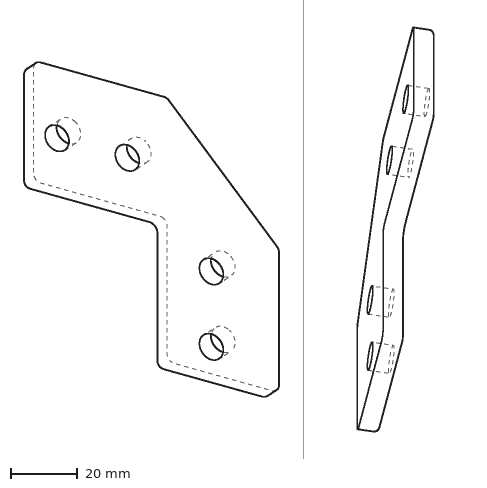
import cadquery as cq

side = 87.5
thickness = 6.4
arm_width = 40.0
corner_radius = 2.5
face_edge_radius = 1.6
hole_diameter = 8.5
hole_spacing = 25.0
hole_end_distance = 12.5
hole_side_distance = 20.0

inner_offset = side - arm_width


def plate():
    """L-shaped plate with its outer corner cut off, front face at Y = 0."""
    outline = [
        (0, side),
        (inner_offset, side),
        (side, inner_offset),
        (side, 0),
        (inner_offset, 0),
        (inner_offset, inner_offset),
        (0, inner_offset),
    ]
    blank = cq.Workplane("XZ").polyline(outline).close().extrude(-thickness)
    rounded = blank.edges("|Y").fillet(corner_radius)
    return rounded.faces("<Y").edges().fillet(face_edge_radius)


def hole_cutters():
    """Two through holes along each arm, mirrored about the corner diagonal."""
    centers = []
    for index in range(2):
        along = hole_end_distance + index * hole_spacing
        centers.append((along, side - hole_side_distance))
        centers.append((side - hole_side_distance, along))
    return cq.Workplane("XZ").pushPoints(centers).circle(hole_diameter / 2).extrude(-thickness)


result = plate().cut(hole_cutters())